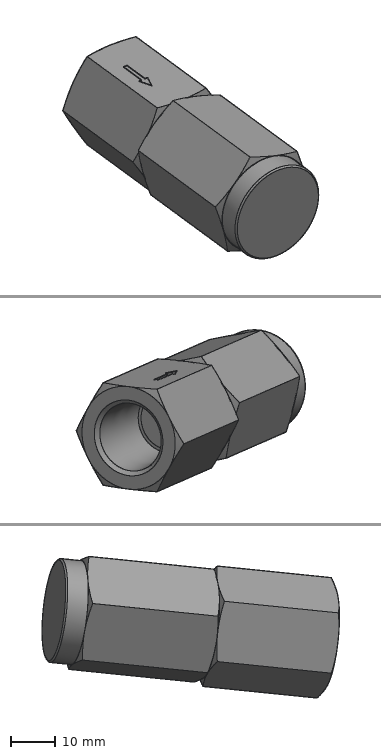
import cadquery as cq
import math

total_length = 63.5
inlet_length = 27.9
outlet_hex_end = 58.35

hex_corner_diameter = 27.5
hex_flats = hex_corner_diameter * math.cos(math.radians(30))
hex_chamfer_length = 0.7
outlet_hex_turn = -15.4

collar_diameter = 23.6
collar_chamfer = 0.4

countersink_diameter = 17.5
port_mouth_diameter = 15.7
countersink_depth = (countersink_diameter - port_mouth_diameter) / 2
port_floor_diameter = 14.55
port_depth = 18.4
poppet_diameter = 13.1

arrow_tail = 8.95
arrow_shoulder = 15.75
arrow_tip = 19.0
arrow_y = -2.3
arrow_shaft_width = 1.0
arrow_head_width = 2.4
arrow_depth = 0.2


def revolve_about_x(profile):
    """Solid of revolution about X from (x, radius) points."""
    return cq.Workplane("XY").polyline(profile).close().revolve(360, (0, 0, 0), (1, 0, 0))


def chamfered_hex(start, end):
    """Hexagonal bar along X, flats up and down, corners turned off conically at both ends."""
    bar = (
        cq.Workplane("YZ", origin=(start, 0, 0))
        .polygon(6, hex_corner_diameter)
        .extrude(end - start)
    )
    corner_radius = hex_corner_diameter / 2
    face_radius = hex_flats / 2
    envelope = revolve_about_x([
        (start, 0),
        (start, face_radius),
        (start + hex_chamfer_length, corner_radius),
        (end - hex_chamfer_length, corner_radius),
        (end, face_radius),
        (end, 0),
    ])
    return bar.intersect(envelope)


def inlet_port():
    """Countersunk, tapered port that opens into the straight poppet seat."""
    return revolve_about_x([
        (0, 0),
        (0, countersink_diameter / 2),
        (countersink_depth, port_mouth_diameter / 2),
        (port_depth, port_floor_diameter / 2),
        (port_depth, poppet_diameter / 2),
        (inlet_length, poppet_diameter / 2),
        (inlet_length, 0),
    ])


def flow_arrow():
    """Arrow pointing along +X, sunk below the top flat."""
    half_shaft = arrow_shaft_width / 2
    half_head = arrow_head_width / 2
    return (
        cq.Workplane("XY", origin=(0, arrow_y, hex_flats / 2))
        .polyline([
            (arrow_tail, -half_shaft),
            (arrow_shoulder, -half_shaft),
            (arrow_shoulder, -half_head),
            (arrow_tip, 0),
            (arrow_shoulder, half_head),
            (arrow_shoulder, half_shaft),
            (arrow_tail, half_shaft),
        ])
        .close()
        .extrude(-arrow_depth)
    )


def make_inlet_body():
    return chamfered_hex(0, inlet_length).cut(inlet_port()).cut(flow_arrow())


def make_outlet_body():
    turned_hex = chamfered_hex(inlet_length, outlet_hex_end).rotate((0, 0, 0), (1, 0, 0), outlet_hex_turn)
    collar = (
        cq.Workplane("YZ", origin=(outlet_hex_end, 0, 0))
        .circle(collar_diameter / 2)
        .extrude(total_length - outlet_hex_end)
        .faces(">X")
        .chamfer(collar_chamfer)
    )
    return turned_hex.union(collar)


def make_poppet():
    """Plug that fills the seat, its face level with the floor of the port."""
    return (
        cq.Workplane("YZ", origin=(port_depth, 0, 0))
        .circle(poppet_diameter / 2)
        .extrude(inlet_length - port_depth)
    )


inlet_body = make_inlet_body()
outlet_body = make_outlet_body()
poppet = make_poppet()

result = cq.Compound.makeCompound([inlet_body.val(), outlet_body.val(), poppet.val()])